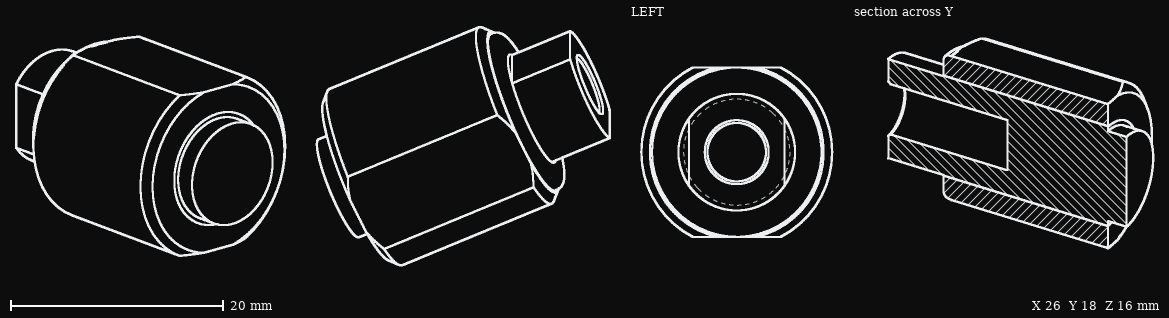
import cadquery as cq

TOTAL_LENGTH = 26.0

STEM_DIAMETER = 11.0
STEM_FLATS_WIDTH = 9.0
STEM_PROJECTION = 6.0
BOSS_DIAMETER = 10.0
BOSS_LENGTH = 2.0
BORE_DIAMETER = 5.5
BORE_DEPTH = 13.0
BORE_CHAMFER = 0.25

HOUSING_DIAMETER = 18.0
HOUSING_FLATS_HEIGHT = 16.0
HOUSING_CHAMFER = 0.8
COLLAR_DIAMETER = 15.96
COLLAR_WIDTH = 0.9
COLLAR_FILLET = 0.73

housing_end = TOTAL_LENGTH - BOSS_LENGTH
sleeve_start = STEM_PROJECTION + COLLAR_WIDTH


def cylinder(diameter, start, end):
    """Cylinder along X between two positions."""
    return cq.Workplane("YZ", origin=(start, 0, 0)).circle(diameter / 2).extrude(end - start)


def block(start, end, width, height):
    """Rectangular block along X, centred on the axis."""
    return cq.Workplane("YZ", origin=(start, 0, 0)).rect(width, height).extrude(end - start)


def make_housing():
    sleeve = cylinder(HOUSING_DIAMETER, sleeve_start, housing_end)
    sleeve = sleeve.faces("<X or >X").edges().chamfer(HOUSING_CHAMFER)
    flats = block(sleeve_start, housing_end, HOUSING_DIAMETER, HOUSING_FLATS_HEIGHT)
    sleeve = sleeve.intersect(flats)

    collar = cylinder(COLLAR_DIAMETER, STEM_PROJECTION, sleeve_start)
    collar = collar.faces("<X").edges().fillet(COLLAR_FILLET)

    stem_hole = cylinder(STEM_DIAMETER, STEM_PROJECTION, housing_end)
    return sleeve.union(collar).cut(stem_hole)


def make_stem():
    tip = cylinder(STEM_DIAMETER, 0, STEM_PROJECTION)
    tip = tip.intersect(block(0, STEM_PROJECTION, STEM_FLATS_WIDTH, STEM_DIAMETER))
    shaft = cylinder(STEM_DIAMETER, STEM_PROJECTION, housing_end)
    boss = cylinder(BOSS_DIAMETER, housing_end, TOTAL_LENGTH)
    stem = tip.union(shaft).union(boss)

    stem = stem.cut(cylinder(BORE_DIAMETER, 0, BORE_DEPTH))
    return stem.faces("<X").edges("%CIRCLE").edges(
        cq.selectors.RadiusNthSelector(0)
    ).chamfer(BORE_CHAMFER)


housing = make_housing()
stem = make_stem()

result = cq.Compound.makeCompound([housing.val(), stem.val()])